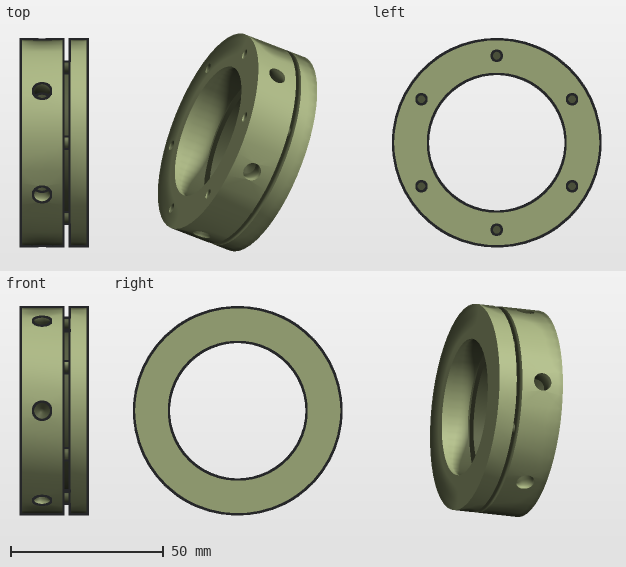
import cadquery as cq
import math

outer_diameter = 68.0
bore_diameter = 45.0
block_width = 14.1
gap_width = 2.0
flange_width = 6.0
total_width = block_width + gap_width + flange_width

outer_groove_floor_diameter = 52.0
inner_groove_floor_diameter = 53.05
inner_groove_start = 11.0
inner_groove_width = gap_width

station_count = 6
station_angle = 360.0 / station_count
pin_circle_radius = 28.5
pin_diameter = 4.0
access_hole_diameter = 3.3

spanner_hole_diameter = 6.0
spanner_hole_depth = 7.0
spanner_hole_x = block_width / 2
drill_point_angle = 118.0


def disc(diameter, start, length):
    """Cylinder on the X axis, running from X = start."""
    return cq.Workplane("YZ", origin=(start, 0, 0)).circle(diameter / 2).extrude(length)


def tube(outside, inside, start, length):
    """Hollow cylinder on the X axis, running from X = start."""
    return disc(outside, start, length).cut(disc(inside, start, length))


def axial_rod(diameter, start, length, angle):
    """Rod parallel to X on the pin circle, with angle measured from +Z about X."""
    rod = disc(diameter, start, length).translate((0, 0, pin_circle_radius))
    return rod.rotate((0, 0, 0), (1, 0, 0), angle)


def spanner_hole(angle):
    """Drilled blind hole with a conical bottom, entering the rim at angle from +Z about X."""
    hole_radius = spanner_hole_diameter / 2
    rim = outer_diameter / 2
    floor = rim - spanner_hole_depth
    tip = floor - hole_radius / math.tan(math.radians(drill_point_angle / 2))
    half_profile = (
        cq.Workplane("XZ")
        .polyline([(0, tip), (hole_radius, floor), (hole_radius, rim), (0, rim)])
        .close()
    )
    drill = half_profile.revolve(360, (0, 0, 0), (0, 1, 0)).translate((spanner_hole_x, 0, 0))
    return drill.rotate((0, 0, 0), (1, 0, 0), angle)


def make_housing():
    """Ring with an outer slot, an inner groove, access holes and spanner holes."""
    body = tube(outer_diameter, bore_diameter, 0, total_width)
    body = body.cut(tube(outer_diameter, outer_groove_floor_diameter, block_width, gap_width))
    body = body.cut(disc(inner_groove_floor_diameter, inner_groove_start, inner_groove_width))
    for station in range(station_count):
        pin_angle = station * station_angle
        body = body.cut(axial_rod(access_hole_diameter, 0, block_width, pin_angle))
        body = body.cut(spanner_hole(pin_angle + station_angle / 2))
    return body


def make_pin(angle):
    """Plain pin held between the two faces of the outer slot."""
    return axial_rod(pin_diameter, block_width, gap_width, angle)


housing = make_housing()
pins = [make_pin(station * station_angle) for station in range(station_count)]

result = cq.Compound.makeCompound([housing.val(), *[pin.val() for pin in pins]])